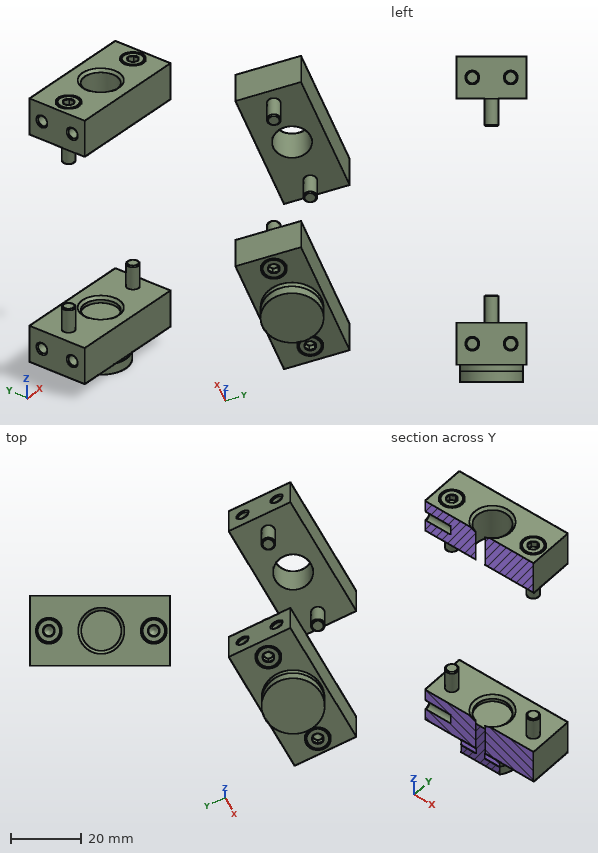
import cadquery as cq
import math

TOTAL_HEIGHT = 93.0

BLOCK_LENGTH = 40.0
BLOCK_WIDTH = 20.0
BLOCK_HEIGHT = 12.1
BORE_OFFSET = 0.4

BORE_DIAMETER = 11.4
BORE_RIM_DIAMETER = 13.2

END_HOLE_DIAMETER = 3.3
END_HOLE_RIM_DIAMETER = 4.0
END_HOLE_SPACING = 11.0
END_HOLE_DEPTH = 9.3

SCREW_SPACING = 29.9
SHANK_DIAMETER = 4.0
SHANK_TIP_CHAMFER = 0.4
SHANK_PROTRUSION = 7.8
HEAD_DIAMETER = 7.0
HEAD_TOP_DIAMETER = 6.3
HEAD_HEIGHT = 4.0
COUNTERBORE_DIAMETER = 7.4
SOCKET_FLATS = 3.0
SOCKET_TURN = 30
SOCKET_DEPTH = 2.0
SOCKET_TIP_DEPTH = 0.9

FLANGE_DIAMETER = 18.0
PLUG_HEAD_HEIGHT = 3.2
WASHER_HEIGHT = 1.8
PLUG_TIP_RECESS = 1.95

lower_block_bottom = PLUG_HEAD_HEIGHT + WASHER_HEIGHT
lower_block_top = lower_block_bottom + BLOCK_HEIGHT
upper_block_bottom = TOTAL_HEIGHT - BLOCK_HEIGHT
screw_positions = [-SCREW_SPACING / 2, SCREW_SPACING / 2]


def cylinder(diameter, bottom, top):
    """Upright cylinder on the Z axis."""
    return cq.Workplane("XY").workplane(offset=bottom).circle(diameter / 2).extrude(top - bottom)


def cone(bottom_diameter, top_diameter, bottom, top):
    """Upright truncated cone on the Z axis."""
    return (
        cq.Workplane("XY").workplane(offset=bottom).circle(bottom_diameter / 2)
        .workplane(offset=top - bottom).circle(top_diameter / 2).loft()
    )


def make_screw():
    """Screw pointing down, with the top of its head at Z = 0."""
    shank_end = -BLOCK_HEIGHT - SHANK_PROTRUSION
    shank = cylinder(SHANK_DIAMETER, shank_end, -HEAD_HEIGHT).faces("<Z").chamfer(SHANK_TIP_CHAMFER)
    head = cylinder(HEAD_DIAMETER, -HEAD_HEIGHT, 0)
    head = head.faces(">Z").chamfer((HEAD_DIAMETER - HEAD_TOP_DIAMETER) / 2)

    socket_corners = SOCKET_FLATS / math.cos(math.pi / 6)
    rim_depth = (socket_corners - SOCKET_FLATS) / 2
    socket = cq.Workplane("XY").polygon(6, socket_corners).extrude(-SOCKET_DEPTH)
    socket = socket.rotate((0, 0, 0), (0, 0, 1), SOCKET_TURN)
    socket_rim = cone(SOCKET_FLATS, socket_corners, -rim_depth, 0)
    tip_point = cq.Vector(0, 0, -SOCKET_DEPTH - SOCKET_TIP_DEPTH)
    socket_tip = cq.Workplane(cq.Solid.makeCone(0, SOCKET_FLATS / 2, SOCKET_TIP_DEPTH, tip_point))
    return shank.union(head).cut(socket).cut(socket_rim).cut(socket_tip)


def make_block(heads_up):
    """Block with its bottom at Z = 0; the screw counterbores open upwards or downwards."""
    block = cq.Workplane("XY").box(BLOCK_LENGTH, BLOCK_WIDTH, BLOCK_HEIGHT, centered=(True, True, False))
    block = block.translate((-BORE_OFFSET, 0, 0))

    rim_depth = (BORE_RIM_DIAMETER - BORE_DIAMETER) / 2
    block = block.cut(cylinder(BORE_DIAMETER, 0, BLOCK_HEIGHT))
    block = block.cut(cone(BORE_DIAMETER, BORE_RIM_DIAMETER, BLOCK_HEIGHT - rim_depth, BLOCK_HEIGHT))

    seat = (BLOCK_HEIGHT - HEAD_HEIGHT, BLOCK_HEIGHT) if heads_up else (0, HEAD_HEIGHT)
    screw_hole = cylinder(SHANK_DIAMETER, 0, BLOCK_HEIGHT).union(cylinder(COUNTERBORE_DIAMETER, *seat))
    for x in screw_positions:
        block = block.cut(screw_hole.translate((x, 0, 0)))

    end_x = -BORE_OFFSET - BLOCK_LENGTH / 2
    mouth_depth = (END_HOLE_RIM_DIAMETER - END_HOLE_DIAMETER) / 2
    end_hole = cylinder(END_HOLE_DIAMETER, 0, END_HOLE_DEPTH)
    end_hole = end_hole.union(cone(END_HOLE_RIM_DIAMETER, END_HOLE_DIAMETER, 0, mouth_depth))
    end_hole = end_hole.rotate((0, 0, 0), (0, 1, 0), 90)
    for y in (-END_HOLE_SPACING / 2, END_HOLE_SPACING / 2):
        block = block.cut(end_hole.translate((end_x, y, BLOCK_HEIGHT / 2)))
    return block


def make_plug():
    """Headed plug whose stem fills the bore from below."""
    head = cylinder(FLANGE_DIAMETER, 0, PLUG_HEAD_HEIGHT)
    return head.union(cylinder(BORE_DIAMETER, PLUG_HEAD_HEIGHT, lower_block_top - PLUG_TIP_RECESS))


def make_washer():
    """Washer between the plug head and the lower block."""
    washer = cylinder(FLANGE_DIAMETER, PLUG_HEAD_HEIGHT, lower_block_bottom)
    return washer.cut(cylinder(BORE_DIAMETER, PLUG_HEAD_HEIGHT, lower_block_bottom))


upper_block = make_block(heads_up=True).translate((0, 0, upper_block_bottom))
lower_block = make_block(heads_up=False).translate((0, 0, lower_block_bottom))
plug = make_plug()
washer = make_washer()

downward_screw = make_screw()
upward_screw = downward_screw.rotate((0, 0, 0), (1, 0, 0), 180)
screws = []
for x in screw_positions:
    screws.append(downward_screw.translate((x, 0, TOTAL_HEIGHT)).val())
    screws.append(upward_screw.translate((x, 0, lower_block_bottom)).val())

result = cq.Compound.makeCompound(
    [upper_block.val(), lower_block.val(), plug.val(), washer.val(), *screws]
)